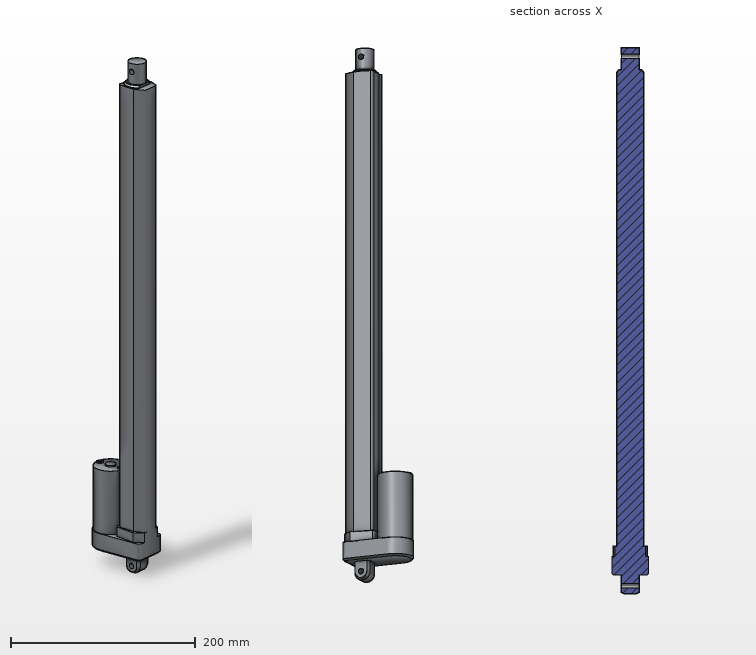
import math

import cadquery as cq

ROD_X = 36.2

TOTAL_HEIGHT = 591.7
HOUSING_BOTTOM = 20.5
HOUSING_TOP = 41.0
COLLAR_TOP = 52.0
MOTOR_TOP = 114.5
TUBE_TOP = 565.0

HOUSING_WIDTH = 40.0
HOUSING_LENGTH = 75.04
HOUSING_LEFT = -HOUSING_WIDTH / 2
HOUSING_RIGHT = HOUSING_LEFT + HOUSING_LENGTH
HOUSING_NOSE_RADIUS = 19.9
HOUSING_CORNER_RADIUS = 5.0
HOUSING_BOTTOM_CHAMFER = 2.0

MOTOR_DIAMETER = 38.0
BEARING_DIAMETER = 12.0
BEARING_HEIGHT = 1.5
TERMINAL_OFFSET = 14.7
TERMINAL_DIAMETER = 8.0
TERMINAL_HEIGHT = 0.8
TERMINAL_PIN_DIAMETER = 3.0


TUBE_BULGE_RADIUS = 15.3
TUBE_BULGE_HALF_WIDTH = 7.0
TUBE_GROOVE = (-math.sqrt(TUBE_BULGE_RADIUS**2 - TUBE_BULGE_HALF_WIDTH**2), TUBE_BULGE_HALF_WIDTH)
TUBE_LOBE_CREST = (-15.2, 9.5)
TUBE_PANEL_LEFT = (-13.1, 13.5)
TUBE_PANEL_RIGHT = (6.4, 15.0)
TUBE_SHOULDER_CREST = (7.8, 14.6)
TUBE_SHOULDER_END = (9.1, 14.0)
TUBE_HOLLOW = (10.3, 13.4)
TUBE_HOLLOW_END = (11.6, 13.0)
TUBE_RIGHT = HOUSING_RIGHT - ROD_X
TUBE_END_HALF_WIDTH = 9.8
TUBE_END_RADIUS = 2.5

COLLAR_LEFT = (-17.6, 11.0)
COLLAR_ROUNDING = (-17.2, 13.4)
COLLAR_PANEL_LEFT = (-16.0, 15.0)
COLLAR_PANEL_RIGHT = (9.0, 18.5)
COLLAR_SHOULDER = (11.0, 16.5)
COLLAR_RIGHT = TUBE_RIGHT
COLLAR_END_HALF_WIDTH = 11.5

WIPER_DIAMETER = 28.6
WIPER_RIGHT = 10.0
WIPER_HEIGHT = 3.0
WIPER_CHAMFER = 2.0

ROD_DIAMETER = 20.0
ROD_HOLE_DIAMETER = 6.0
ROD_HOLE_FROM_TOP = 9.5

CLEVIS_DEPTH = 20.0
CLEVIS_RADIUS = 9.0
CLEVIS_HOLE_DIAMETER = 6.0
CLEVIS_CHAMFER_DEPTH = 4.0
CLEVIS_CHAMFER_INSET = 2.0
CLEVIS_CHAMFER_ANGLE = math.degrees(math.atan2(CLEVIS_CHAMFER_INSET, CLEVIS_CHAMFER_DEPTH))
CLEVIS_BURIED_LENGTH = 8.0


def cylinder(x, diameter, bottom, top):
    return cq.Workplane("XY", origin=(x, 0, bottom)).circle(diameter / 2).extrude(top - bottom)


def block(left, right, width, bottom, top):
    return (
        cq.Workplane("XY", origin=((left + right) / 2, 0, bottom))
        .rect(right - left, width)
        .extrude(top - bottom)
    )


def cross_hole(z, diameter):
    """A pin hole along Y through the rod axis."""
    return cq.Workplane("XZ", origin=(ROD_X, 0, z)).circle(diameter / 2).extrude(HOUSING_WIDTH, both=True)


def with_mirror_image(half):
    return half.union(half.mirror("XZ", (0, 0, 0)))


def housing():
    body = block(HOUSING_LEFT, HOUSING_RIGHT, HOUSING_WIDTH, HOUSING_BOTTOM, HOUSING_TOP)
    body = body.edges("|Z and <X").fillet(HOUSING_NOSE_RADIUS)
    body = body.edges("|Z and >X").fillet(HOUSING_CORNER_RADIUS)
    return body.faces("<Z").edges().chamfer(HOUSING_BOTTOM_CHAMFER)


def motor():
    boss_top = MOTOR_TOP + BEARING_HEIGHT
    body = cylinder(0, MOTOR_DIAMETER, HOUSING_TOP, MOTOR_TOP)
    body = body.union(cylinder(0, BEARING_DIAMETER, MOTOR_TOP, boss_top))
    for x in (-TERMINAL_OFFSET, TERMINAL_OFFSET):
        body = body.union(cylinder(x, TERMINAL_DIAMETER, MOTOR_TOP, MOTOR_TOP + TERMINAL_HEIGHT))
        body = body.union(cylinder(x, TERMINAL_PIN_DIAMETER, MOTOR_TOP, boss_top))
    return body


def collar():
    half = (
        cq.Workplane("XY", origin=(ROD_X, 0, HOUSING_TOP))
        .moveTo(COLLAR_LEFT[0], 0)
        .lineTo(*COLLAR_LEFT)
        .threePointArc(COLLAR_ROUNDING, COLLAR_PANEL_LEFT)
        .lineTo(*COLLAR_PANEL_RIGHT)
        .lineTo(*COLLAR_SHOULDER)
        .lineTo(COLLAR_RIGHT, COLLAR_END_HALF_WIDTH)
        .lineTo(COLLAR_RIGHT, 0)
        .close()
        .extrude(COLLAR_TOP - HOUSING_TOP)
    )
    return with_mirror_image(half)


def tube():
    half = (
        cq.Workplane("XY", origin=(ROD_X, 0, COLLAR_TOP))
        .moveTo(-TUBE_BULGE_RADIUS, 0)
        .radiusArc(TUBE_GROOVE, TUBE_BULGE_RADIUS)
        .threePointArc(TUBE_LOBE_CREST, TUBE_PANEL_LEFT)
        .lineTo(*TUBE_PANEL_RIGHT)
        .threePointArc(TUBE_SHOULDER_CREST, TUBE_SHOULDER_END)
        .threePointArc(TUBE_HOLLOW, TUBE_HOLLOW_END)
        .lineTo(TUBE_RIGHT, TUBE_END_HALF_WIDTH)
        .lineTo(TUBE_RIGHT, 0)
        .close()
        .extrude(TUBE_TOP - COLLAR_TOP)
    )
    return with_mirror_image(half).edges("|Z and >X").fillet(TUBE_END_RADIUS)


def wiper():
    top = TUBE_TOP + WIPER_HEIGHT
    ring = cylinder(ROD_X, WIPER_DIAMETER, TUBE_TOP, top)
    ring = ring.faces(">Z").edges().chamfer(WIPER_CHAMFER)
    left = ROD_X - WIPER_DIAMETER / 2
    return ring.intersect(block(left, ROD_X + WIPER_RIGHT, WIPER_DIAMETER, TUBE_TOP, top))


def rod():
    body = cylinder(ROD_X, ROD_DIAMETER, TUBE_TOP, TOTAL_HEIGHT)
    return body.cut(cross_hole(TOTAL_HEIGHT - ROD_HOLE_FROM_TOP, ROD_HOLE_DIAMETER))


def clevis_layer(start, thickness, taper):
    """A layer of the lug, rounded about the pin axis, growing toward -Y from the given distance."""
    shank = HOUSING_BOTTOM + CLEVIS_BURIED_LENGTH - CLEVIS_RADIUS
    return (
        cq.Workplane("XZ", origin=(ROD_X, -start, CLEVIS_RADIUS))
        .moveTo(-CLEVIS_RADIUS, shank)
        .lineTo(-CLEVIS_RADIUS, 0)
        .threePointArc((0, -CLEVIS_RADIUS), (CLEVIS_RADIUS, 0))
        .lineTo(CLEVIS_RADIUS, shank)
        .close()
        .extrude(thickness, taper=taper)
    )


def clevis():
    core = CLEVIS_DEPTH / 2 - CLEVIS_CHAMFER_DEPTH
    half = clevis_layer(0, core, 0)
    half = half.union(clevis_layer(core, CLEVIS_CHAMFER_DEPTH, CLEVIS_CHAMFER_ANGLE))
    return with_mirror_image(half).cut(cross_hole(CLEVIS_RADIUS, CLEVIS_HOLE_DIAMETER))


result = housing()
for piece in (motor(), collar(), tube(), wiper(), rod(), clevis()):
    result = result.union(piece)